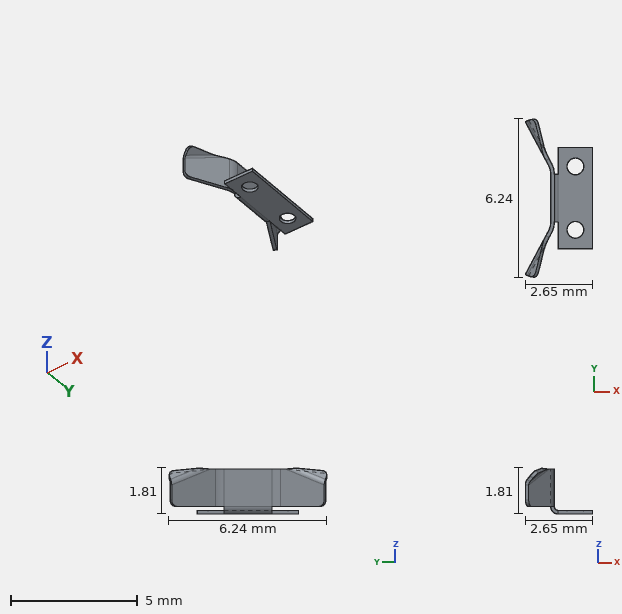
import cadquery as cq
import math

thickness = 0.15
inner_radius = 0.15
outer_radius = inner_radius + thickness

plate_width = 4.0
plate_end_x = 1.505
hole_diameter = 0.65
hole_spacing = 2.495

wall_width = 1.9
wall_bottom = outer_radius
wall_top = 1.78
wall_height = wall_top - wall_bottom
wing_angle = 28.0
wing_bend_radius = 0.72
wing_length = 1.94
corner_radius = 0.25

fold_start = 0.22
fold_slope = 20.0
fold_angle = 45.0
bend_samples = 7

slope = math.radians(fold_slope)
fold = math.radians(fold_angle)
bend_length = (inner_radius + thickness / 2) * fold
edge_length = wing_length - fold_start
fold_line_length = edge_length / math.cos(slope)


def make_plate():
    """Flat mounting plate with two holes."""
    length = plate_end_x - inner_radius
    return (
        cq.Workplane("XY")
        .box(length, plate_width, thickness, centered=(False, True, False))
        .translate((inner_radius, 0, 0))
        .faces(">Z").workplane(origin=(inner_radius + length / 2, 0, 0))
        .rarray(0.06, hole_spacing, 1, 2)
        .hole(hole_diameter)
    )


def make_wall():
    """Upright wall and the quarter bend that joins it to the plate."""
    inner_diagonal = inner_radius * math.sqrt(0.5)
    outer_diagonal = outer_radius * math.sqrt(0.5)
    return (
        cq.Workplane("XZ")
        .moveTo(0, wall_top)
        .lineTo(-thickness, wall_top)
        .lineTo(-thickness, wall_bottom)
        .threePointArc((inner_radius - outer_diagonal, outer_radius - outer_diagonal), (inner_radius, 0))
        .lineTo(inner_radius, thickness)
        .threePointArc((inner_radius - inner_diagonal, outer_radius - inner_diagonal), (0, wall_bottom))
        .close()
        .extrude(wall_width / 2, both=True)
    )


def make_wing_bend():
    """Vertical bend from the wall into the +Y wing."""
    center_x = -thickness - wing_bend_radius

    def arc_point(radius, degrees):
        angle = math.radians(degrees)
        return (center_x + radius * math.cos(angle), wall_width / 2 + radius * math.sin(angle))

    back_radius = wing_bend_radius + thickness
    return (
        cq.Workplane("XY", origin=(0, 0, wall_bottom))
        .moveTo(*arc_point(wing_bend_radius, 0))
        .lineTo(*arc_point(back_radius, 0))
        .threePointArc(arc_point(back_radius, wing_angle / 2), arc_point(back_radius, wing_angle))
        .lineTo(*arc_point(wing_bend_radius, wing_angle))
        .threePointArc(arc_point(wing_bend_radius, wing_angle / 2), arc_point(wing_bend_radius, 0))
        .close()
        .extrude(wall_height)
    )


def make_wing_panel():
    """Flat wing below the fold, in wing axes: X along the wing, Y up, Z through the sheet."""
    fold_end_height = wall_height - edge_length * math.tan(slope)
    return (
        cq.Workplane("XY")
        .polyline([
            (0, 0),
            (wing_length, 0),
            (wing_length, fold_end_height),
            (fold_start, wall_height),
            (0, wall_height),
        ])
        .close()
        .extrude(thickness)
        .edges("|Z and >X and <Y").fillet(corner_radius)
    )


def bend_edge(at_end, depth):
    """Helical edge of the corner bend; depth is measured from the outside of the bend."""
    points = []
    for i in range(bend_samples):
        fraction = i / (bend_samples - 1)
        angle = fold * fraction
        flat = bend_length * fraction
        along = fold_line_length - flat * math.tan(slope) if at_end else flat / math.tan(slope)
        radius = outer_radius - depth
        points.append(cq.Vector(along, radius * math.sin(angle), outer_radius - radius * math.cos(angle)))
    return cq.Edge.makeSpline(points)


def make_corner_bend():
    """Bend of the folded corner, in fold axes: X along the fold line, Z through the sheet."""
    rails = [
        bend_edge(False, 0),
        bend_edge(True, 0),
        bend_edge(True, thickness),
        bend_edge(False, thickness),
    ]
    faces = [cq.Face.makeRuledSurface(rails[i - 1], rails[i]) for i in range(len(rails))]
    for end in (0, 1):
        corners = [rail.positionAt(end) for rail in rails]
        faces.append(cq.Face.makeFromWires(cq.Wire.makePolygon(corners, close=True)))
    return cq.Workplane(obj=cq.Solid.makeSolid(cq.Shell.makeShell(faces)).fix())


def make_flap():
    """Flat folded corner, in fold axes."""
    plane = cq.Plane(
        origin=(0, outer_radius * math.sin(fold), outer_radius * (1 - math.cos(fold))),
        xDir=(1, 0, 0),
        normal=(0, -math.sin(fold), math.cos(fold)),
    )
    tip = (edge_length * math.cos(slope), edge_length * math.sin(slope) - bend_length)
    outline = (
        cq.Workplane("XY")
        .moveTo(bend_length / math.tan(slope), 0)
        .lineTo(fold_line_length - bend_length * math.tan(slope), 0)
        .lineTo(*tip)
        .close()
        .extrude(thickness)
        .edges("|Z and >Y").fillet(corner_radius)
    )
    return cq.Workplane(obj=outline.val().moved(cq.Location(plane)))


def make_wing():
    """Complete +Y wing with its bend and folded corner."""
    angle = math.radians(wing_angle)
    wing_plane = cq.Plane(
        origin=(
            -thickness - wing_bend_radius * (1 - math.cos(angle)),
            wall_width / 2 + wing_bend_radius * math.sin(angle),
            wall_bottom,
        ),
        xDir=(-math.sin(angle), math.cos(angle), 0),
        normal=(math.cos(angle), math.sin(angle), 0),
    )
    fold_location = cq.Location(cq.Vector(fold_start, wall_height, 0), cq.Vector(0, 0, 1), -fold_slope)
    wing_location = cq.Location(wing_plane)
    corner = [make_corner_bend().val(), make_flap().val()]
    panels = [make_wing_panel().val()] + [shape.moved(fold_location) for shape in corner]
    wing = make_wing_bend()
    for panel in panels:
        wing = wing.union(cq.Workplane(obj=panel.moved(wing_location)))
    return wing


wing = make_wing()
result = make_plate().union(make_wall()).union(wing).union(wing.mirror("XZ"))